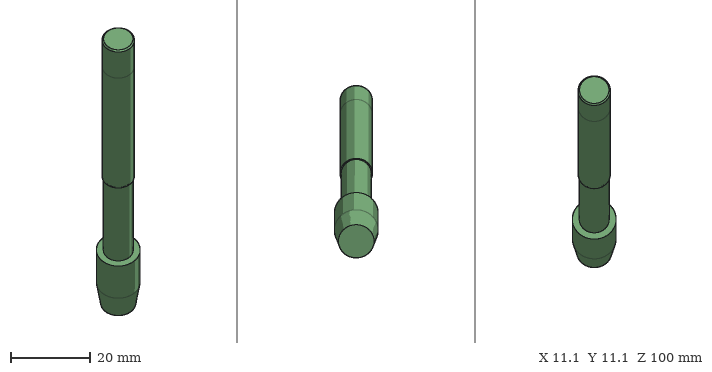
import cadquery as cq

total_length = 100.0

head_diameter = 11.1
tip_diameter = 9.0
head_length = 20.0
lead_length = 7.8

shank_diameter = 8.2
neck_diameter = 7.6
neck_length = 28.0
drive_length = 10.3
end_chamfer = 0.4


def cylinder(diameter, bottom, height):
    return cq.Workplane("XY").workplane(offset=bottom).circle(diameter / 2).extrude(height)


def make_head():
    """Head turned about Z, widening along the lead from the tip."""
    return (
        cq.Workplane("XZ")
        .moveTo(0, 0)
        .lineTo(tip_diameter / 2, 0)
        .lineTo(head_diameter / 2, lead_length)
        .lineTo(head_diameter / 2, head_length)
        .lineTo(0, head_length)
        .close()
        .revolve(360, (0, 0, 0), (0, 1, 0))
    )


def make_shank():
    """Neck, shank and drive end in one piece, standing on the head."""
    shank_bottom = head_length + neck_length
    drive_bottom = total_length - drive_length
    neck = cylinder(neck_diameter, head_length, neck_length)
    grip = cylinder(shank_diameter, shank_bottom, drive_bottom - shank_bottom)
    drive_end = cylinder(shank_diameter, drive_bottom, drive_length).faces(">Z").chamfer(end_chamfer)
    return neck.union(grip, clean=False).union(drive_end, clean=False)


head = make_head()
shank = make_shank()

result = cq.Compound.makeCompound([head.val(), *shank.solids().vals()])